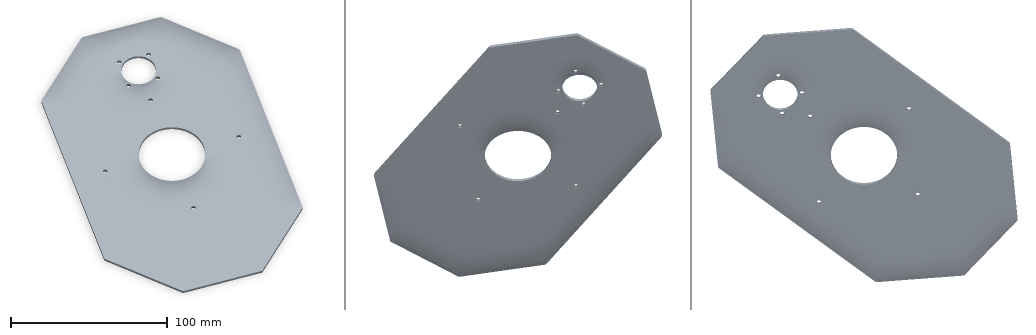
import cadquery as cq

plate_length = 211.2
plate_width = 132.9
plate_thickness = 2.0
corner_cut = 40.0

main_diameter = 42.5
main_screw_radius = 44.8
main_screw_count = 4

small_diameter = 22.2
small_center_x = -69.7
small_screw_spacing = 19.6

screw_diameter = 3.0

plate = (
    cq.Workplane("XY")
    .box(plate_length, plate_width, plate_thickness)
    .edges("|Z")
    .chamfer(corner_cut)
)

plate = plate.faces(">Z").workplane(origin=(0, 0, 0)).hole(main_diameter)
plate = (
    plate.faces(">Z")
    .workplane(origin=(0, 0, 0))
    .polarArray(main_screw_radius, 0, 360, main_screw_count)
    .hole(screw_diameter)
)

small_center = (small_center_x, 0, 0)
plate = plate.faces(">Z").workplane(origin=small_center).hole(small_diameter)
plate = (
    plate.faces(">Z")
    .workplane(origin=small_center)
    .rect(small_screw_spacing, small_screw_spacing, forConstruction=True)
    .vertices()
    .hole(screw_diameter)
)

result = plate